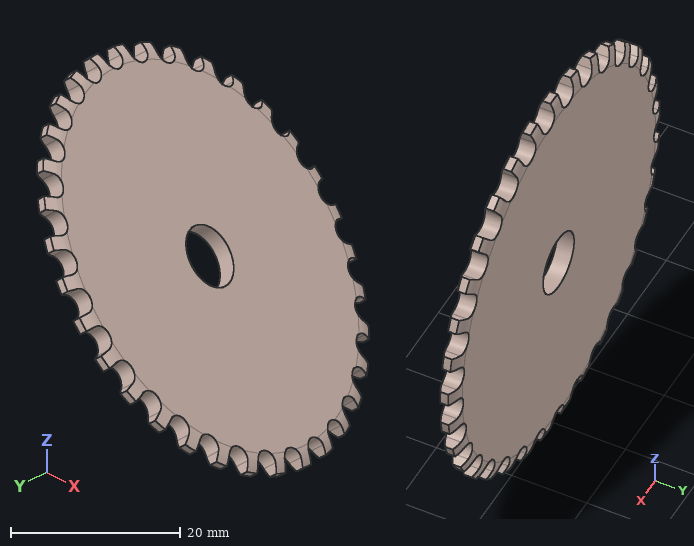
import cadquery as cq
import math

tooth_count = 33
tip_radius = 27.4
thickness = 2.3
bore_diameter = 8.0
chain_pitch = 5.0
roller_seat_radius = 1.6
side_relief_radius = 5.0
flat_face_radius = 25.0

half_thickness = thickness / 2
tooth_angle = 360 / tooth_count
pitch_radius = chain_pitch / (2 * math.sin(math.radians(tooth_angle / 2)))

back_face = cq.Workplane("XZ", origin=(0, half_thickness, 0))


def relief_depth(radius):
    """Axial distance from the flat face plane to the relief arc at a radius."""
    rise = radius - flat_face_radius
    return side_relief_radius - math.sqrt(side_relief_radius**2 - rise**2)


def make_blank():
    """Revolved disc whose rim is thinned by a tangent arc on both sides."""
    middle_radius = (flat_face_radius + tip_radius) / 2
    middle_half_width = half_thickness - relief_depth(middle_radius)
    tip_half_width = half_thickness - relief_depth(tip_radius)
    profile = (
        cq.Workplane("XY")
        .moveTo(0, -half_thickness)
        .lineTo(flat_face_radius, -half_thickness)
        .threePointArc((middle_radius, -middle_half_width), (tip_radius, -tip_half_width))
        .lineTo(tip_radius, tip_half_width)
        .threePointArc((middle_radius, middle_half_width), (flat_face_radius, half_thickness))
        .lineTo(0, half_thickness)
        .close()
    )
    return profile.revolve(360, (0, 0, 0), (0, 1, 0))


def make_gap_cutter():
    """Gap beside the +Z tooth, on its +X side: a roller seat opening outward.

    Each side leaves the seat tangentially and runs parallel to the centreline of the
    tooth beside it, so the teeth have parallel flanks.
    """
    half_angle = math.radians(tooth_angle / 2)
    seat_x = roller_seat_radius * math.cos(half_angle)
    seat_z = pitch_radius - roller_seat_radius * math.sin(half_angle)
    outer_z = tip_radius + roller_seat_radius
    outer_x = seat_x + (outer_z - seat_z) * math.tan(half_angle)
    cutter = (
        back_face.moveTo(-outer_x, outer_z)
        .lineTo(-seat_x, seat_z)
        .threePointArc((0, pitch_radius - roller_seat_radius), (seat_x, seat_z))
        .lineTo(outer_x, outer_z)
        .close()
        .extrude(thickness)
    )
    return cutter.rotate((0, 0, 0), (0, 1, 0), tooth_angle / 2)


def make_bore():
    """Cylinder for the central through hole."""
    return back_face.circle(bore_diameter / 2).extrude(thickness)


sprocket = make_blank()
gap_cutter = make_gap_cutter()
for gap in range(tooth_count):
    sprocket = sprocket.cut(gap_cutter.rotate((0, 0, 0), (0, 1, 0), gap * tooth_angle))
sprocket = sprocket.cut(make_bore())

result = sprocket.solids()